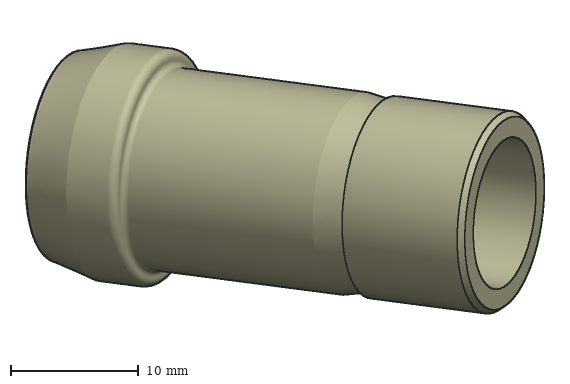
import cadquery as cq

length = 37.4
bore_radius = 12.0 / 2
tube_radius = 16.0 / 2
collar_radius = 18.8 / 2

nose_tip_radius = 8.4
face_radius = 8.25
lip_length = 0.35
lip_break_x = 0.1
lip_break_radius = 8.38
nose_end = 4.0
shoulder_x = 8.2
shoulder_round = 0.67
root_fillet = 0.5

groove_start = 24.55
groove_end = 27.05
groove_radius = 7.55

chamfer_length = 0.5
chamfer_depth = 0.37


def quarter_arc_midpoint(center, radius, x_sign, y_sign):
    """Middle point of a quarter circle lying in the given quadrant."""
    offset = radius * 0.5**0.5
    return (center[0] + x_sign * offset, center[1] + y_sign * offset)


shoulder_center = (shoulder_x - shoulder_round, collar_radius - shoulder_round)
root_center = (shoulder_x + root_fillet, tube_radius + root_fillet)

half_section = (
    cq.Workplane("XY")
    .moveTo(0, bore_radius)
    .lineTo(0, face_radius)
    .lineTo(lip_break_x, lip_break_radius)
    .lineTo(lip_length, nose_tip_radius)
    .lineTo(nose_end, collar_radius)
    .lineTo(shoulder_center[0], collar_radius)
    .threePointArc(
        quarter_arc_midpoint(shoulder_center, shoulder_round, 1, 1),
        (shoulder_x, shoulder_center[1]),
    )
    .lineTo(shoulder_x, root_center[1])
    .threePointArc(
        quarter_arc_midpoint(root_center, root_fillet, -1, -1),
        (root_center[0], tube_radius),
    )
    .lineTo(groove_start, tube_radius)
    .lineTo(groove_end, groove_radius)
    .lineTo(groove_end, tube_radius)
    .lineTo(length - chamfer_length, tube_radius)
    .lineTo(length, tube_radius - chamfer_depth)
    .lineTo(length, bore_radius)
    .close()
)

result = half_section.revolve(360, (0, 0, 0), (1, 0, 0)).translate((-length / 2, 0, 0))